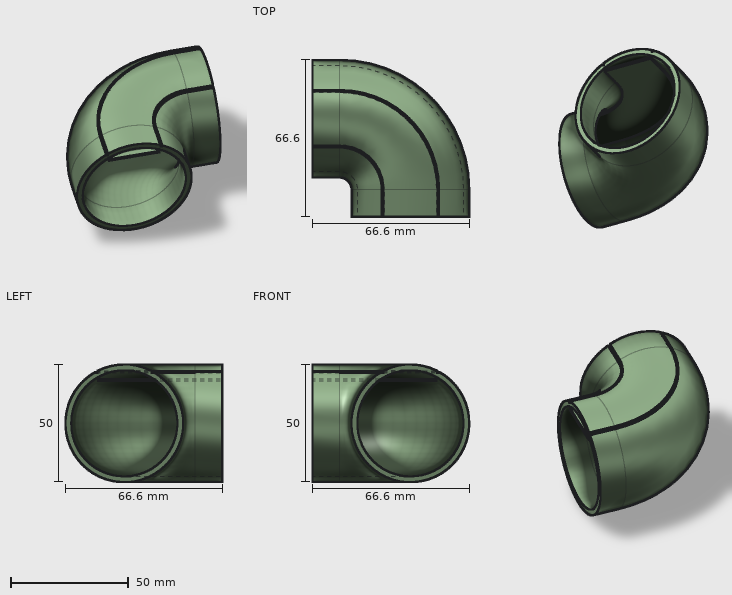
import cadquery as cq

overall_length = 66.6
outer_diameter = 50.0
inner_diameter = 45.0
bend_radius = 30.0

groove_inner_offset = 11.45
groove_width = 0.7
groove_floor_height = 21.3

plate_width = 22.1
plate_thickness = 0.85
plate_bottom_height = 18.0

outer_radius = outer_diameter / 2
inner_radius = inner_diameter / 2
leg_length = overall_length - bend_radius - outer_radius


def along_elbow(section):
    """Carry a cross-section down one leg, round the 90 degree bend and down the other leg.

    The section lies in the XZ plane with the bend centre at the origin.
    """
    front_leg = cq.Workplane("XZ").placeSketch(section).extrude(leg_length)
    bend = cq.Workplane("XZ").placeSketch(section).revolve(90, (0, 0, 0), (0, 1, 0))
    side_leg = front_leg.mirror("YZ").rotate((0, 0, 0), (0, 0, 1), -90)
    return front_leg.union(bend).union(side_leg)


def rectangle_section(axis_offset, bottom, width, height):
    """Rectangle centred at a sideways offset from the pipe axis."""
    center_x = bend_radius + axis_offset
    center_z = bottom + height / 2
    return cq.Sketch().push([(center_x, center_z)]).rect(width, height)


def circle_section(radius):
    """Circle centred on the pipe axis."""
    return cq.Sketch().push([(bend_radius, 0)]).circle(radius)


def make_elbow():
    """Pipe elbow with two shallow grooves along its upper surface."""
    elbow = along_elbow(circle_section(outer_radius)).cut(along_elbow(circle_section(inner_radius)))
    groove_offset = groove_inner_offset + groove_width / 2
    groove_height = outer_radius - groove_floor_height
    for side in (-1, 1):
        groove = rectangle_section(side * groove_offset, groove_floor_height, groove_width, groove_height)
        elbow = elbow.cut(along_elbow(groove))
    return elbow


def make_plate():
    """Thin flat plate that follows the bend below the crown of the bore."""
    return along_elbow(rectangle_section(0, plate_bottom_height, plate_width, plate_thickness))


elbow = make_elbow()
plate = make_plate()
result = cq.Compound.makeCompound([elbow.solids().val(), plate.solids().val()])